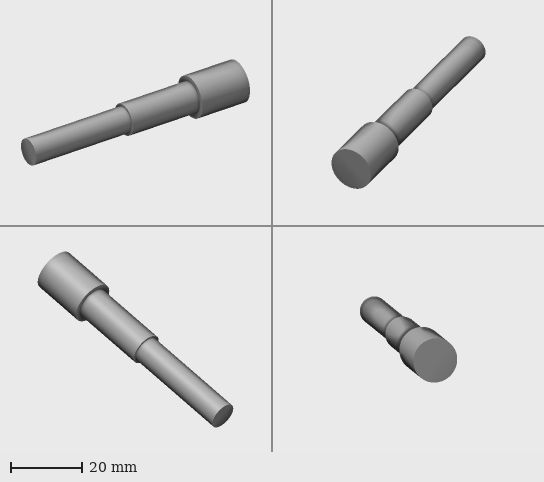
import cadquery as cq

total_length = 69.85
head_diameter = 12.7
head_length = 15.85
shank_diameter = 9.5
shank_length = 22.2
tip_diameter = 7.95
tip_length = total_length - head_length - shank_length

tip_end_y = -total_length / 2


def cylinder_along_y(diameter, start_y, length):
    """Round section centred on the Y axis, growing toward +Y."""
    plane = cq.Workplane("XZ", origin=(0, start_y, 0))
    return plane.circle(diameter / 2).extrude(-length)


tip = cylinder_along_y(tip_diameter, tip_end_y, tip_length)
shank = cylinder_along_y(shank_diameter, tip_end_y + tip_length, shank_length)
head = cylinder_along_y(head_diameter, tip_end_y + tip_length + shank_length, head_length)

result = tip.union(shank).union(head)